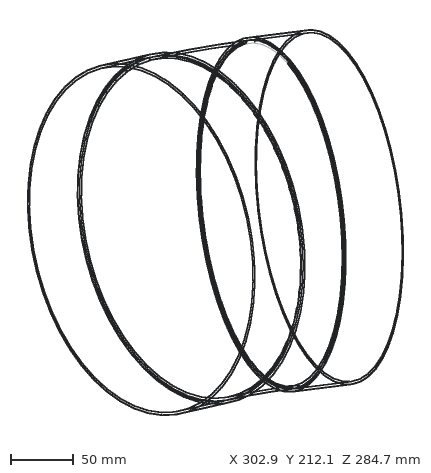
import cadquery as cq
import math

collar_diameter = 284.7
body_diameter = 280.0
wall = (collar_diameter - body_diameter) / 2
inlet_collar_length = 51.8
outlet_collar_length = 51.5
bend_radius = collar_diameter
bend_angle = 15.0

bend_rad = math.radians(bend_angle)
bend_end_x = bend_radius * (1 - math.cos(bend_rad))
bend_end_y = inlet_collar_length + bend_radius * math.sin(bend_rad)

inlet_axis = cq.Vector(0, 1, 0)
outlet_axis = cq.Vector(math.sin(bend_rad), math.cos(bend_rad), 0)
bend_start = cq.Vector(0, inlet_collar_length, 0)
bend_end = cq.Vector(bend_end_x, bend_end_y, 0)


def tube(start, axis, length, outer_diameter):
    """Straight tube of the common wall thickness along axis."""
    plane = cq.Plane(origin=start, xDir=(0, 0, 1), normal=axis)
    outer_radius = outer_diameter / 2
    return cq.Workplane(plane).circle(outer_radius).circle(outer_radius - wall).extrude(length)


def bent_body():
    """Tube swept around a pivot line parallel to Z on the +X side."""
    plane = cq.Plane(origin=bend_start, xDir=(1, 0, 0), normal=inlet_axis)
    outer_radius = body_diameter / 2
    section = cq.Workplane(plane).circle(outer_radius).circle(outer_radius - wall)
    return section.revolve(bend_angle, (bend_radius, 0), (bend_radius, 1))


def rounded_ring(start, axis):
    """Convex quarter-round step inside a collar, tangent to the body bore and opening along axis."""
    collar_bore_radius = collar_diameter / 2 - wall
    body_bore_radius = body_diameter / 2 - wall
    seat_radius = collar_bore_radius + wall / 2
    arc_mid_radius = collar_bore_radius - wall * math.cos(math.pi / 4)
    arc_mid_height = wall * math.sin(math.pi / 4)
    plane = cq.Plane(origin=start, xDir=(0, 0, 1), normal=cq.Vector(0, 0, 1).cross(axis))
    profile = (
        cq.Workplane(plane)
        .moveTo(body_bore_radius, 0)
        .lineTo(seat_radius, 0)
        .lineTo(seat_radius, wall)
        .lineTo(collar_bore_radius, wall)
        .threePointArc((arc_mid_radius, arc_mid_height), (body_bore_radius, 0))
        .close()
    )
    return profile.revolve(360, (0, 0), (0, 1))


inlet_collar = tube(cq.Vector(0, 0, 0), inlet_axis, inlet_collar_length, collar_diameter)
outlet_collar = tube(bend_end, outlet_axis, outlet_collar_length, collar_diameter)

inlet_ring = rounded_ring(bend_start, inlet_axis * -1)
outlet_ring = rounded_ring(bend_end, outlet_axis)

result = (
    bent_body()
    .union(inlet_ring)
    .union(outlet_ring)
    .union(inlet_collar)
    .union(outlet_collar)
)